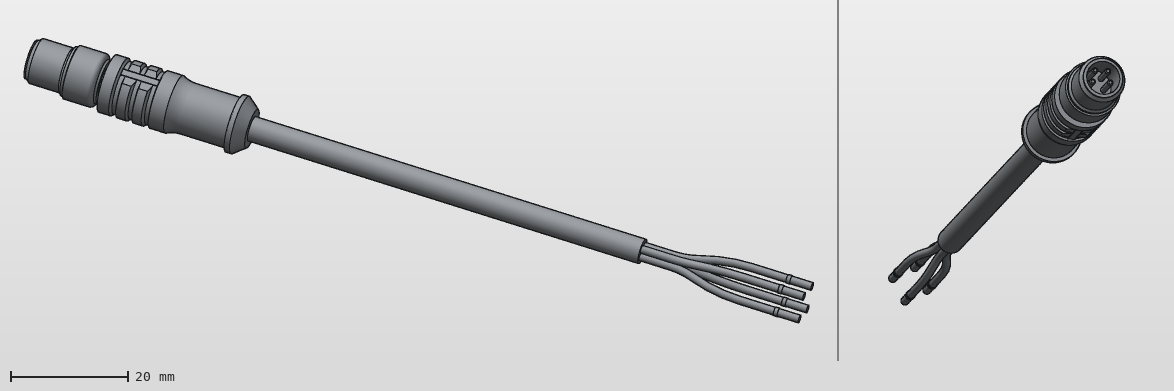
import cadquery as cq
import math

total_length = 141.4

nose_dia = 8.0
nose_tip_dia = 6.9
nose_lip = 0.3
nose_chamfer_end = 1.0
socket_dia = 5.8
socket_depth = 6.4
pin_dia = 1.0
pin_root = 7.0
pin_recess = 1.1
pin_chamfer = 0.21
pin_places = [(1.1, 1.5), (1.5, -0.4)]

collar_start = 6.5
collar_step_dia = 8.9
collar_chamfer = 0.4
collar_step_end = 7.5
collar_dia = 9.6
collar_round_start = 12.0
collar_round = 0.8
collar_end = 13.3
collar_end_dia = 7.5
neck_dia = 5.8

grip_start = 14.0
grip_end = 26.2
grip_dia = 10.3
groove_count = 3
groove_first = 16.5
groove_pitch = 3.0
groove_width = 0.8
groove_dia = 9.5
groove_ramp = 0.4
flat_height = 4.8
bar_width = 1.3
bar_rise = 0.1

body_start = 28.7
body_dia = 9.0
flange_start = 37.2
flange_rim = 1.0
flange_end = 40.3
flange_dia = 10.3
flange_tip_dia = 6.9

cable_dia = 4.4
cable_end = 111.5
wire_count = 4
wire_dia = 1.4
wire_twist = 16.0
bundle_radius = 1.0
spread_radius = 3.1
bend_start = 117.1
bend_middle = 121.5
bend_end = 130.4
band_start = 136.9
band_width = 0.7
band_dia = 1.5
wire_root = 1.4


def rod(diameter, x_start, x_end, y=0.0, z=0.0):
    """Round bar parallel to X."""
    return (
        cq.Workplane("YZ", origin=(x_start, y, z))
        .circle(diameter / 2)
        .extrude(x_end - x_start)
    )


def make_body():
    """Turned outline of nose, collar, grip, rear body, flange and cable."""
    round_end = collar_round_start + collar_round
    taper_length = body_start - grip_end
    taper_drop = (grip_dia - body_dia) / 2
    taper_radius = (taper_length**2 + taper_drop**2) / (2 * taper_drop)
    return (
        cq.Workplane("XZ")
        .lineTo(0, nose_tip_dia / 2)
        .lineTo(nose_lip, nose_tip_dia / 2)
        .lineTo(nose_chamfer_end, nose_dia / 2)
        .lineTo(collar_start, nose_dia / 2)
        .lineTo(collar_start + collar_chamfer, collar_step_dia / 2)
        .lineTo(collar_step_end, collar_step_dia / 2)
        .lineTo(collar_step_end, collar_dia / 2)
        .lineTo(collar_round_start, collar_dia / 2)
        .radiusArc((round_end, collar_dia / 2 - collar_round), collar_round)
        .lineTo(collar_end, collar_end_dia / 2)
        .lineTo(collar_end, neck_dia / 2)
        .lineTo(grip_start, neck_dia / 2)
        .lineTo(grip_start, grip_dia / 2)
        .lineTo(grip_end, grip_dia / 2)
        .radiusArc((body_start, body_dia / 2), -taper_radius)
        .lineTo(flange_start, body_dia / 2)
        .lineTo(flange_start, flange_dia / 2)
        .lineTo(flange_start + flange_rim, flange_dia / 2)
        .lineTo(flange_end, flange_tip_dia / 2)
        .lineTo(flange_end, cable_dia / 2)
        .lineTo(cable_end, cable_dia / 2)
        .lineTo(cable_end, 0)
        .close()
        .revolve(360, (0, 0, 0), (1, 0, 0))
    )


def make_groove(x_start):
    """Ring cutter with a sloped front wall and a square rear wall."""
    x_end = x_start + groove_width
    return (
        cq.Workplane("XZ")
        .moveTo(x_start - groove_ramp, grip_dia / 2)
        .lineTo(x_start, groove_dia / 2)
        .lineTo(x_end, groove_dia / 2)
        .lineTo(x_end, grip_dia)
        .lineTo(x_start - groove_ramp, grip_dia)
        .close()
        .revolve(360, (0, 0, 0), (1, 0, 0))
    )


def cut_grip(body):
    """Finger grooves, and a flat with a raised centre bar above and below."""
    for index in range(groove_count):
        body = body.cut(make_groove(groove_first + index * groove_pitch))

    flat_length = (groove_count - 1) * groove_pitch + groove_width
    flat_middle = groove_first + flat_length / 2
    bar_height = flat_height / 2
    for side in (1, -1):
        flat_cut = cq.Workplane("XY").box(flat_length, grip_dia, grip_dia)
        bar = cq.Workplane("XY").box(flat_length, bar_width, bar_height)
        flat_place = side * (flat_height - bar_rise + grip_dia / 2)
        bar_place = side * (flat_height - bar_height / 2)
        body = body.cut(flat_cut.translate((flat_middle, 0, flat_place)))
        body = body.union(bar.translate((flat_middle, 0, bar_place)))
    return body


def add_contacts(body):
    """Bore the nose and leave pins standing on the socket floor."""
    body = body.cut(rod(socket_dia, 0, socket_depth))
    for y, z in pin_places:
        for side in (1, -1):
            pin = rod(pin_dia, pin_recess, pin_root, side * y, z)
            body = body.union(pin.faces("<X").chamfer(pin_chamfer))
    return body


def make_wire():
    """Wire that leaves the cable straight, swings outward in two tangent arcs and ends past a thin band."""
    rise = spread_radius - bundle_radius
    run = bend_end - bend_start
    half_angle = math.atan2(rise, run)
    first_radius = (bend_middle - bend_start) / math.sin(2 * half_angle)
    second_radius = (bend_end - bend_middle) / math.sin(2 * half_angle)
    middle_height = bundle_radius + rise * (bend_middle - bend_start) / run
    path = (
        cq.Workplane("XZ")
        .moveTo(cable_end - wire_root, bundle_radius)
        .lineTo(bend_start, bundle_radius)
        .radiusArc((bend_middle, middle_height), -first_radius)
        .radiusArc((bend_end, spread_radius), second_radius)
        .lineTo(band_start, spread_radius)
    )
    insulation = (
        cq.Workplane("YZ", origin=(cable_end - wire_root, 0, bundle_radius))
        .circle(wire_dia / 2)
        .sweep(path)
    )
    band_end = band_start + band_width
    band = rod(band_dia, band_start, band_end, z=spread_radius)
    tip = rod(wire_dia, band_end, total_length, z=spread_radius)
    return insulation.union(band).union(tip)


def add_wires(body):
    """Equally spaced wires around the cable axis."""
    wire = make_wire()
    for index in range(wire_count):
        angle = wire_twist + index * 360 / wire_count
        body = body.union(wire.rotate((0, 0, 0), (1, 0, 0), angle))
    return body


result = add_wires(add_contacts(cut_grip(make_body())))